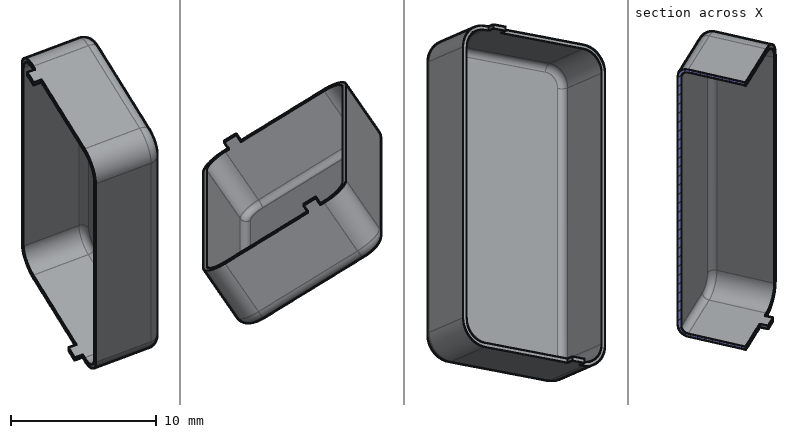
import cadquery as cq

WIDTH = 11.7
HEIGHT = 23.0
DEPTH = 5.0
WALL = 0.3
CORNER_RADIUS = 1.8
BACK_FILLET = 0.8

TAB_WIDTH = 1.0
TAB_LENGTH = 0.6
TAB_THICKNESS = WALL
TAB_EDGE_GAP = 2.1


def rounded_block(inset):
    """Block inset from the outer shell, open end at Y = 0, rounded at the back."""
    return (
        cq.Workplane("XZ")
        .rect(WIDTH - 2 * inset, HEIGHT - 2 * inset)
        .extrude(-(DEPTH - inset))
        .edges("|Y")
        .fillet(CORNER_RADIUS - inset)
        .faces(">Y")
        .edges()
        .fillet(BACK_FILLET - inset)
    )


def tab(side):
    """Tab on the top (side = 1) or bottom (side = -1) wall, in diagonal positions."""
    x_center = -side * (WIDTH / 2 - TAB_EDGE_GAP - TAB_WIDTH / 2)
    z_center = side * (HEIGHT / 2 - TAB_THICKNESS / 2)
    tab_root = WALL
    return (
        cq.Workplane("XY")
        .box(TAB_WIDTH, TAB_LENGTH + tab_root, TAB_THICKNESS)
        .translate((x_center, (tab_root - TAB_LENGTH) / 2, z_center))
    )


result = rounded_block(0).cut(rounded_block(WALL))
for side in (1, -1):
    result = result.union(tab(side))